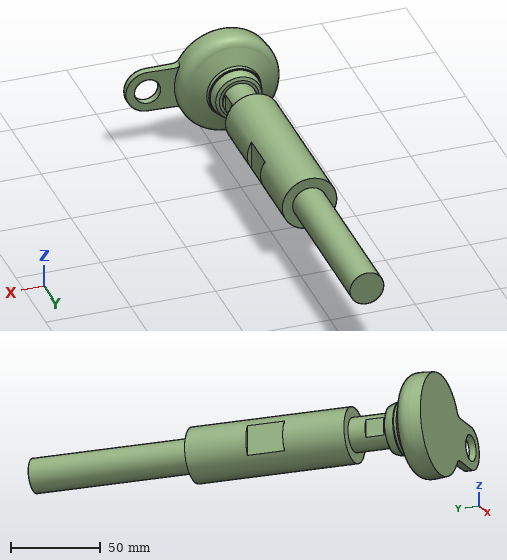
import cadquery as cq
import math

TOTAL_HEIGHT = 243.0

FOOT_LENGTH = 88.0
FOOT_RADIUS = 60.0 / 2
SOLE_RADIUS = 29.5
RIM_HEIGHT = 6.0
SHOULDER_START_HEIGHT = 9.0
SHOULDER_END_HEIGHT = 15.5
SHOULDER_END_RADIUS = 25.0
CONE_TOP_HEIGHT = 20.0
CONE_TOP_RADIUS = 16.0
LIP_RADIUS = 15.5
LIP_HEIGHT = 21.9

TAB_WIDTH = 25.0
TAB_END_RADIUS = TAB_WIDTH / 2
TAB_HOLE_DIAMETER = 15.0
TAB_HOLE_X = FOOT_LENGTH - FOOT_RADIUS - TAB_END_RADIUS
TAB_ROOT_THICKNESS = 5.3
TAB_TIP_THICKNESS = 4.0
TAB_FILLET = 4.5

GROOVE_RADIUS = 14.8
GROOVE_WIDTH = 0.5
DOME_RADIUS = 15.3
DOME_CENTER_HEIGHT = 21.0
DOME_END_HEIGHT = 28.0
COLLAR_TOP_RADIUS = 11.7
COLLAR_TOP_HEIGHT = 28.7

ROD_DIAMETER = 20.0
ROD_FLATS_WIDTH = 17.0
ROD_FLATS_BOTTOM = 30.1
ROD_FLATS_LENGTH = 11.0
SLEEVE_DIAMETER = 32.0
SLEEVE_BOTTOM = 51.3
SLEEVE_LENGTH = 95.5
SLEEVE_FLATS_WIDTH = 27.0
SLEEVE_FLATS_LENGTH = 22.0


def cylinder_along_y(diameter, bottom, top):
    """Solid cylinder on the Y axis between two heights."""
    base = cq.Workplane("XZ", origin=(0, bottom, 0)).circle(diameter / 2)
    return base.extrude(bottom - top)


def dome_radius_at(height):
    """Radius of the spherical dome at a height."""
    return math.sqrt(DOME_RADIUS**2 - (height - DOME_CENTER_HEIGHT) ** 2)


def cut_flats(body, diameter, width, bottom, length):
    """Cut two opposite wrench flats, facing -X and +X."""
    depth = (diameter - width) / 2
    for side in (-1, 1):
        flat = cq.Workplane("XY").box(depth, length, diameter)
        body = body.cut(flat.translate((side * (width + depth) / 2, bottom + length / 2, 0)))
    return body


def foot_disc():
    """Turned plate with a drafted rim, round shoulder, cone, lip and domed collar."""
    dome_start = LIP_HEIGHT + GROOVE_WIDTH
    dome_middle = (dome_start + DOME_END_HEIGHT) / 2
    return (
        cq.Workplane("XY")
        .lineTo(SOLE_RADIUS, 0)
        .lineTo(FOOT_RADIUS, RIM_HEIGHT)
        .lineTo(FOOT_RADIUS, SHOULDER_START_HEIGHT)
        .tangentArcPoint((SHOULDER_END_RADIUS, SHOULDER_END_HEIGHT), relative=False)
        .lineTo(CONE_TOP_RADIUS, CONE_TOP_HEIGHT)
        .lineTo(LIP_RADIUS, LIP_HEIGHT)
        .lineTo(GROOVE_RADIUS, LIP_HEIGHT)
        .lineTo(GROOVE_RADIUS, dome_start)
        .lineTo(dome_radius_at(dome_start), dome_start)
        .threePointArc(
            (dome_radius_at(dome_middle), dome_middle),
            (dome_radius_at(DOME_END_HEIGHT), DOME_END_HEIGHT),
        )
        .lineTo(COLLAR_TOP_RADIUS, COLLAR_TOP_HEIGHT)
        .lineTo(0, COLLAR_TOP_HEIGHT)
        .close()
        .revolve(360, (0, 0, 0), (0, 1, 0))
    )


def tab():
    """Tapering tab towards +X, with root fillets tangent to the sole circle."""
    half = TAB_WIDTH / 2
    center_distance = SOLE_RADIUS + TAB_FILLET
    fillet_z = half + TAB_FILLET
    fillet_x = math.sqrt(center_distance**2 - fillet_z**2)
    touch_scale = SOLE_RADIUS / center_distance
    touch_x = fillet_x * touch_scale
    touch_z = fillet_z * touch_scale

    start_angle = math.atan2(-fillet_z, -fillet_x)
    middle_angle = (start_angle - math.pi / 2) / 2
    middle_x = fillet_x + TAB_FILLET * math.cos(middle_angle)
    middle_z = fillet_z + TAB_FILLET * math.sin(middle_angle)

    tip_x = TAB_HOLE_X + TAB_END_RADIUS
    plate = (
        cq.Workplane("XZ")
        .moveTo(0, touch_z)
        .lineTo(touch_x, touch_z)
        .threePointArc((middle_x, middle_z), (fillet_x, half))
        .lineTo(TAB_HOLE_X, half)
        .threePointArc((tip_x, 0), (TAB_HOLE_X, -half))
        .lineTo(fillet_x, -half)
        .threePointArc((middle_x, -middle_z), (touch_x, -touch_z))
        .lineTo(0, -touch_z)
        .close()
        .extrude(-RIM_HEIGHT)
    )

    wedge = (
        cq.Workplane("XY")
        .lineTo(tip_x, 0)
        .lineTo(tip_x, TAB_TIP_THICKNESS)
        .lineTo(fillet_x, TAB_ROOT_THICKNESS)
        .lineTo(0, TAB_ROOT_THICKNESS)
        .close()
        .extrude(FOOT_RADIUS, both=True)
    )
    return plate.intersect(wedge)


def make_foot():
    """Foot plate with bolt-down tab and the short flatted rod that carries the sleeve."""
    hole = cylinder_along_y(TAB_HOLE_DIAMETER, 0, RIM_HEIGHT).translate((TAB_HOLE_X, 0, 0))
    rod = cylinder_along_y(ROD_DIAMETER, COLLAR_TOP_HEIGHT, SLEEVE_BOTTOM)
    rod = cut_flats(rod, ROD_DIAMETER, ROD_FLATS_WIDTH, ROD_FLATS_BOTTOM, ROD_FLATS_LENGTH)
    return foot_disc().union(tab()).cut(hole).union(rod)


def make_extension():
    """Flatted sleeve resting on the foot's rod, with the long upper rod in one piece."""
    sleeve_top = SLEEVE_BOTTOM + SLEEVE_LENGTH
    sleeve = cylinder_along_y(SLEEVE_DIAMETER, SLEEVE_BOTTOM, sleeve_top)
    flats_bottom = SLEEVE_BOTTOM + (SLEEVE_LENGTH - SLEEVE_FLATS_LENGTH) / 2
    sleeve = cut_flats(sleeve, SLEEVE_DIAMETER, SLEEVE_FLATS_WIDTH, flats_bottom, SLEEVE_FLATS_LENGTH)
    return sleeve.union(cylinder_along_y(ROD_DIAMETER, sleeve_top, TOTAL_HEIGHT))


foot = make_foot()
extension = make_extension()

result = cq.Compound.makeCompound([*foot.solids().vals(), *extension.solids().vals()])